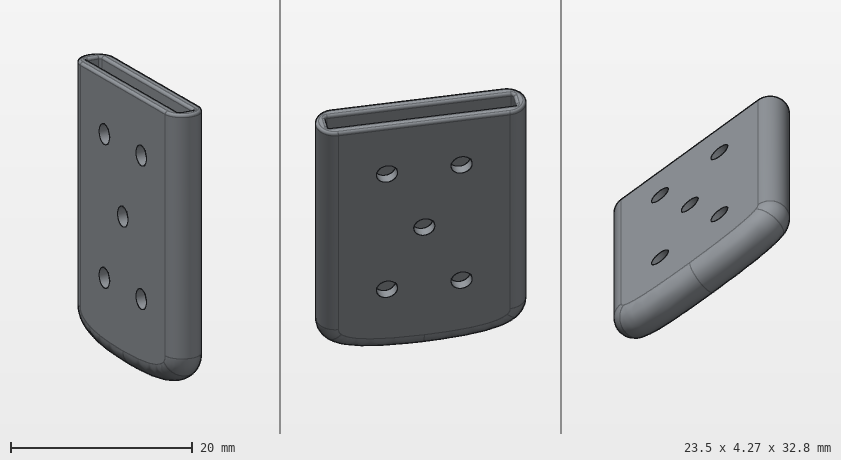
import cadquery as cq
import math

width = 23.48
thickness = 4.27
height = 32.76

edge_radius = thickness / 2
rim_fillet = 0.35

flat_half_width = width / 2 - edge_radius
flat_bottom_z = edge_radius
corner_start_z = 4.4
corner_radius = 1.05
corner_sweep = math.radians(47)
corner_pull = 1.15
bottom_pull = 6.2

pocket_width = 21.08
pocket_thickness = 1.9
pocket_corner_radius = 0.25
pocket_floor_z = corner_start_z
mouth_fillet = 0.35

hole_diameter = 2.35
hole_offset_x = 4.17
hole_offset_z = 8.33
hole_center_z = 17.7


def corner_point(angle):
    """Point on the left corner arc after turning by the given angle from vertical."""
    x = -flat_half_width + corner_radius * (1 - math.cos(angle))
    z = corner_start_z - corner_radius * math.sin(angle)
    return (x, z)


def mirrored(point):
    return (-point[0], point[1])


def flat_outline():
    """Open outline of the flat faces: down the left side, along the bottom, up the right side."""
    arc_middle = corner_point(corner_sweep / 2)
    arc_end = corner_point(corner_sweep)
    corner_handle = (
        arc_end[0] + corner_pull * math.sin(corner_sweep),
        arc_end[1] - corner_pull * math.cos(corner_sweep),
    )
    bottom_handle = (-bottom_pull, flat_bottom_z)
    bottom = (0, flat_bottom_z)
    left_curve = [arc_end, corner_handle, bottom_handle, bottom]
    right_curve = [mirrored(point) for point in reversed(left_curve)]
    return (
        cq.Workplane("XZ")
        .moveTo(-flat_half_width, height)
        .lineTo(-flat_half_width, corner_start_z)
        .threePointArc(arc_middle, arc_end)
        .bezier(left_curve)
        .bezier(right_curve)
        .threePointArc(mirrored(arc_middle), (flat_half_width, corner_start_z))
        .lineTo(flat_half_width, height)
    )


def make_body():
    core = flat_outline().close().extrude(thickness / 2, both=True)
    rim = (
        cq.Workplane("XY", origin=(-flat_half_width, 0, height))
        .moveTo(0, edge_radius)
        .threePointArc((-edge_radius, 0), (0, -edge_radius))
        .close()
        .sweep(flat_outline().wire())
    )
    body = core.union(rim).clean()
    return body.faces(">Z").edges().fillet(rim_fillet)


def cut_pocket(body):
    pocket = (
        cq.Workplane("XY", origin=(0, 0, pocket_floor_z))
        .rect(pocket_width, pocket_thickness)
        .extrude(height - pocket_floor_z)
        .edges("|Z")
        .fillet(pocket_corner_radius)
    )
    margin = mouth_fillet / 2
    half_x = pocket_width / 2 + margin
    half_y = pocket_thickness / 2 + margin
    mouth_edges = cq.selectors.BoxSelector(
        (-half_x, -half_y, height - margin),
        (half_x, half_y, height + margin),
        boundingbox=True,
    )
    return body.cut(pocket).edges(mouth_edges).fillet(mouth_fillet)


def cut_holes(body):
    places = [(0, hole_center_z)]
    for side in (-1, 1):
        for level in (-1, 1):
            places.append((side * hole_offset_x, hole_center_z + level * hole_offset_z))
    holes = (
        cq.Workplane("XZ")
        .pushPoints(places)
        .circle(hole_diameter / 2)
        .extrude(thickness, both=True)
    )
    return body.cut(holes)


result = cut_holes(cut_pocket(make_body()))